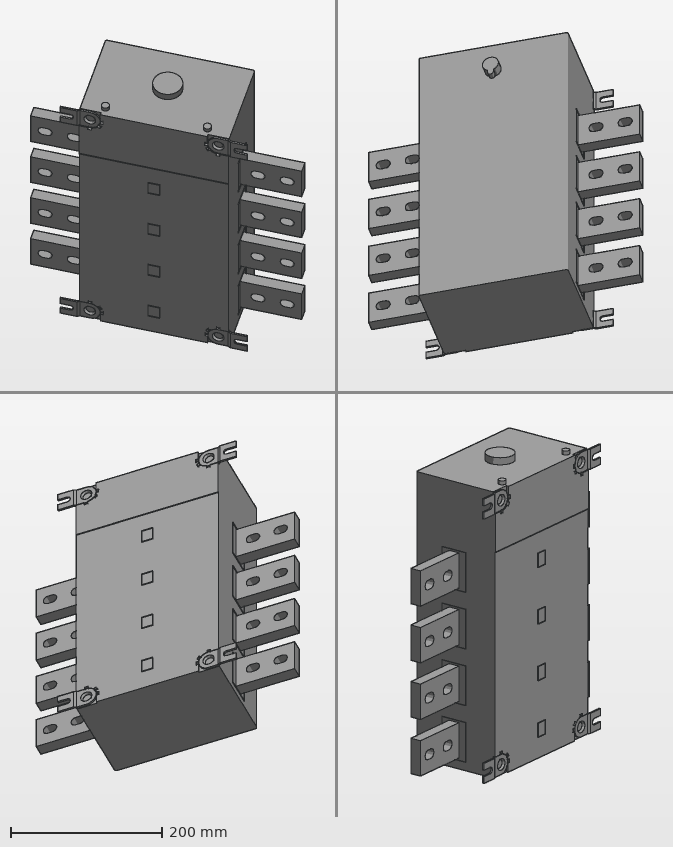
import cadquery as cq

BODY_WIDTH = 204.8
BODY_HEIGHT = 404.5
BODY_FRONT = 0.6
BODY_BACK = 132.0
BACK_EDGE_RADIUS = 3.0
LOWER_FACE_STEP = 1.3
UPPER_SECTION_HEIGHT = 85.0
BODY_SIDE = BODY_WIDTH / 2
LOWER_FACE = BODY_FRONT + LOWER_FACE_STEP

POLE_COUNT = 4
POLE_PITCH = 80.0
FIRST_POLE_Z = 40.0
POLE_HEIGHTS = [FIRST_POLE_Z + i * POLE_PITCH for i in range(POLE_COUNT)]

BAR_TIP = 186.0
BAR_HEIGHT = 50.0
BAR_THICKNESS = 16.0
BAR_Y = 70.0
BAR_HOLE_LENGTH = 19.0
BAR_HOLE_WIDTH = 13.5
BAR_HOLE_EDGE = 20.0
BAR_HOLE_PITCH = 40.0
BAR_POCKET_DEPTH = 1.0
BAR_POCKET_THICKNESS = 39.0
BAR_POCKET_HEIGHT = 56.0

MARKER_WIDTH = 16.0
MARKER_HEIGHT = 20.0

PLATE_THICKNESS = 2.5
PAD_OFFSET = 2.0
PAD_X = 88.0
PAD_EDGE_DISTANCE = 15.5
PAD_RADIUS = 14.2
POCKET_CLEARANCE = 0.4
POCKET_RADIUS = PAD_RADIUS + POCKET_CLEARANCE
POCKET_FLOOR = PAD_OFFSET + PLATE_THICKNESS
NOTCH_REACH = 18.1
NOTCH_WIDTH = 5.0
NOTCH_ANGLES = (180, 213, 270)
JOG_INNER = 101.7
JOG_OUTER = 105.3
FOOT_TIP = 128.3
SLOT_WIDTH = 9.0
SLOT_LENGTH = 18.0
HOLE_MOUTH_RADIUS = 8.0
HOLE_FLOOR_RADIUS = 6.2
HOLE_DEPTH = 3.5

KNOB_RADIUS = 20.0
KNOB_HEIGHT = 10.0
KNOB_Y = 70.0
PIN_RADIUS = 5.3
PIN_HEIGHT = 5.5
PIN_X = 70.0
PIN_Y = 14.0

SHAFT_RADIUS = 11.0
SHAFT_LENGTH = 13.9
SHAFT_DROP = 42.4
LUG_WIDTH = 8.0
LUG_THICKNESS = 9.2
LUG_REACH = 17.5


def box(x_range, y_range, z_range):
    """Axis-aligned box between the given limits."""
    sizes = [high - low for low, high in (x_range, y_range, z_range)]
    return cq.Workplane("XY").box(*sizes, centered=False).translate((x_range[0], y_range[0], z_range[0]))


def y_cylinder(x, z, radius, y_start, y_end):
    """Cylinder along Y between two depths."""
    disc = cq.Workplane("XZ").center(x, z).circle(radius)
    return disc.extrude(y_start - y_end).translate((0, y_start, 0))


def both_sides(shape):
    """The shape together with its mirror image across the X = 0 plane."""
    return shape.union(shape.mirror("YZ"))


def housing():
    body = box((-BODY_SIDE, BODY_SIDE), (BODY_FRONT, BODY_BACK), (0, BODY_HEIGHT))
    body = body.edges("|Z and >Y").fillet(BACK_EDGE_RADIUS)
    lower_top = BODY_HEIGHT - UPPER_SECTION_HEIGHT
    return body.cut(box((-BODY_SIDE, BODY_SIDE), (BODY_FRONT, LOWER_FACE), (0, lower_top)))


def bar_pocket(z):
    half_thickness = BAR_POCKET_THICKNESS / 2
    half_height = BAR_POCKET_HEIGHT / 2
    return both_sides(box(
        (-BODY_SIDE, -BODY_SIDE + BAR_POCKET_DEPTH),
        (BAR_Y - half_thickness, BAR_Y + half_thickness),
        (z - half_height, z + half_height),
    ))


def terminal_bar(z):
    bar = box(
        (-BAR_TIP, -BODY_SIDE + BAR_POCKET_DEPTH),
        (BAR_Y - BAR_THICKNESS / 2, BAR_Y + BAR_THICKNESS / 2),
        (z - BAR_HEIGHT / 2, z + BAR_HEIGHT / 2),
    )
    outer_x = -BAR_TIP + BAR_HOLE_EDGE
    holes = (
        cq.Workplane("XZ", origin=(0, BAR_Y, 0))
        .pushPoints([(outer_x, z), (outer_x + BAR_HOLE_PITCH, z)])
        .slot2D(BAR_HOLE_LENGTH, BAR_HOLE_WIDTH)
        .extrude(BAR_THICKNESS, both=True)
    )
    return both_sides(bar.cut(holes))


def pole_marker(z):
    half_height = MARKER_HEIGHT / 2
    return box(
        (-MARKER_WIDTH / 2, MARKER_WIDTH / 2),
        (BODY_FRONT, LOWER_FACE),
        (z - half_height, z + half_height),
    )


def corner_pocket(z):
    """Left-hand upper bracket pocket, open to the side and top, with notches round its rim."""
    depth = (0, POCKET_FLOOR)
    pocket = y_cylinder(-PAD_X, z, POCKET_RADIUS, *depth)
    pocket = pocket.union(box((-BODY_SIDE, -PAD_X), depth, (z - POCKET_RADIUS, z)))
    pocket = pocket.union(box((-BODY_SIDE, -PAD_X + POCKET_RADIUS), depth, (z, z + PAD_EDGE_DISTANCE)))
    for angle in NOTCH_ANGLES:
        notch = box((-NOTCH_REACH, 0), depth, (-NOTCH_WIDTH / 2, NOTCH_WIDTH / 2))
        notch = notch.rotate((0, 0, 0), (0, 1, 0), angle)
        pocket = pocket.union(notch.translate((-PAD_X, 0, z)))
    return pocket


def bracket(z):
    """Left-hand bracket: round-ended pad, jog and slotted foot."""
    strip = (
        cq.Workplane("XY")
        .polyline([
            (-FOOT_TIP, 0),
            (-JOG_OUTER, 0),
            (-JOG_INNER, PAD_OFFSET),
            (-PAD_X, PAD_OFFSET),
            (-PAD_X, POCKET_FLOOR),
            (-JOG_INNER, POCKET_FLOOR),
            (-JOG_OUTER, PLATE_THICKNESS),
            (-FOOT_TIP, PLATE_THICKNESS),
        ])
        .close()
        .extrude(PAD_RADIUS, both=True)
        .translate((0, 0, z))
    )
    plate = strip.union(y_cylinder(-PAD_X, z, PAD_RADIUS, PAD_OFFSET, POCKET_FLOOR))
    slot_end = -FOOT_TIP + SLOT_LENGTH - SLOT_WIDTH / 2
    slot = y_cylinder(slot_end, z, SLOT_WIDTH / 2, 0, PLATE_THICKNESS)
    slot_heights = (z - SLOT_WIDTH / 2, z + SLOT_WIDTH / 2)
    slot = slot.union(box((-FOOT_TIP, slot_end), (0, PLATE_THICKNESS), slot_heights))
    return plate.cut(slot)


def bracket_hole(z):
    """Tapered blind hole through the left-hand pad and into the housing."""
    mouth = cq.Workplane("XZ", origin=(0, PAD_OFFSET, 0)).center(-PAD_X, z).circle(HOLE_MOUTH_RADIUS)
    return mouth.workplane(offset=-HOLE_DEPTH).circle(HOLE_FLOOR_RADIUS).loft()


def four_corners(shape):
    """The left-hand upper shape repeated in all four corners of the front face."""
    return both_sides(shape.union(shape.mirror("XY", (0, 0, BODY_HEIGHT / 2))))


def top_fittings():
    top = cq.Workplane("XY", origin=(0, 0, BODY_HEIGHT))
    knob = top.center(0, KNOB_Y).circle(KNOB_RADIUS).extrude(KNOB_HEIGHT)
    pins = top.pushPoints([(-PIN_X, PIN_Y), (PIN_X, PIN_Y)]).circle(PIN_RADIUS).extrude(PIN_HEIGHT)
    return knob.union(pins)


def rear_shaft():
    z = BODY_HEIGHT - SHAFT_DROP
    end = BODY_BACK + SHAFT_LENGTH
    shaft = y_cylinder(0, z, SHAFT_RADIUS, BODY_BACK, end)
    lug_center = z - LUG_REACH + LUG_WIDTH / 2
    lug = y_cylinder(0, lug_center, LUG_WIDTH / 2, end - LUG_THICKNESS, end)
    neck = box((-LUG_WIDTH / 2, LUG_WIDTH / 2), (end - LUG_THICKNESS, end), (lug_center, z))
    return shaft.union(lug).union(neck)


bracket_z = BODY_HEIGHT - PAD_EDGE_DISTANCE

result = housing()
for pole_z in POLE_HEIGHTS:
    result = result.cut(bar_pocket(pole_z)).union(terminal_bar(pole_z)).union(pole_marker(pole_z))
result = result.cut(four_corners(corner_pocket(bracket_z)))
result = result.union(four_corners(bracket(bracket_z)))
result = result.cut(four_corners(bracket_hole(bracket_z)))
result = result.union(top_fittings()).union(rear_shaft())